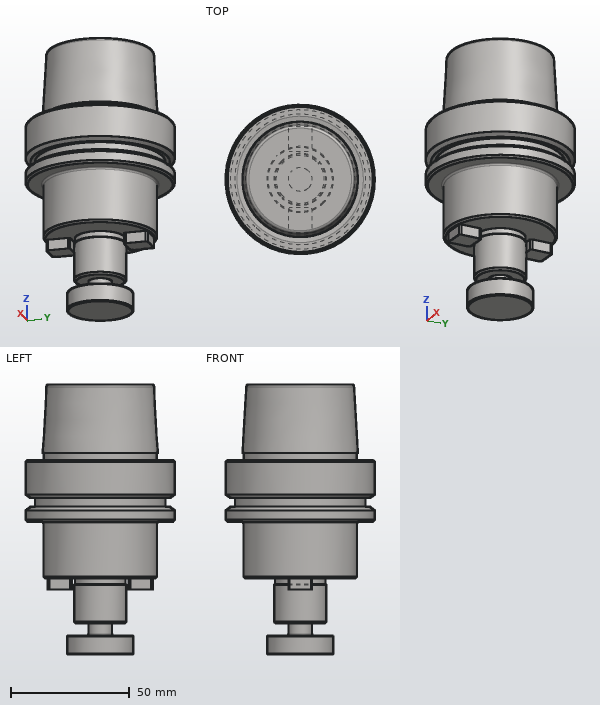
import cadquery as cq

total_height = 113.9
head_top = 8.0
pilot_bottom = 13.0
relief_bottom = 29.6
body_bottom = 32.0
flange_bottom = 55.9
flange_top = 82.0
taper_bottom = 85.0

head_radius = 14.0
neck_radius = 5.0
pilot_radius = 11.0
relief_radius = 10.7
body_radius = 48.0 / 2
flange_radius = 63.0 / 2
groove_radius = 27.6
taper_bottom_radius = 24.4
taper_top_radius = 22.8
shank_root_radius = 23.9

head_chamfer = 0.5
neck_fillet = 0.7
pilot_chamfer = 0.9
relief_step = pilot_radius - relief_radius
body_chamfer = 0.9
body_fillet = 0.8
flange_chamfer = 0.9
shank_edge_radius = 1.1

groove_bottom = 62.3
groove_top = 66.0
groove_lower_edge = 60.7
groove_upper_edge = 67.4
groove_lip_radius = 29.4

dish_radius = 26.7
dish_depth = 0.5

key_width = 10.0
key_inner = 11.8
key_outer = 22.3
key_bottom = 27.3
key_corner_x = 0.5
key_corner_y = 0.9


def turned_body():
    """Revolve the half profile of all coaxial sections about Z."""
    profile = (
        cq.Workplane("XZ")
        .lineTo(head_radius - head_chamfer, 0)
        .lineTo(head_radius, head_chamfer)
        .lineTo(head_radius, head_top - head_chamfer)
        .lineTo(head_radius - head_chamfer, head_top)
        .lineTo(neck_radius + neck_fillet, head_top)
        .radiusArc((neck_radius, head_top + neck_fillet), neck_fillet)
        .lineTo(neck_radius, pilot_bottom)
        .lineTo(pilot_radius - pilot_chamfer, pilot_bottom)
        .lineTo(pilot_radius, pilot_bottom + pilot_chamfer)
        .lineTo(pilot_radius, relief_bottom - relief_step)
        .lineTo(relief_radius, relief_bottom)
        .lineTo(relief_radius, body_bottom)
        .lineTo(body_radius - body_chamfer, body_bottom)
        .lineTo(body_radius, body_bottom + body_chamfer)
        .lineTo(body_radius, flange_bottom - body_fillet)
        .radiusArc((body_radius + body_fillet, flange_bottom), body_fillet)
        .lineTo(flange_radius - flange_chamfer, flange_bottom)
        .lineTo(flange_radius, flange_bottom + flange_chamfer)
        .lineTo(flange_radius, groove_lower_edge)
        .lineTo(groove_lip_radius, groove_bottom)
        .lineTo(groove_radius, groove_bottom)
        .lineTo(groove_radius, groove_top)
        .lineTo(groove_lip_radius, groove_top)
        .lineTo(flange_radius, groove_upper_edge)
        .lineTo(flange_radius, flange_top - flange_chamfer)
        .lineTo(flange_radius - flange_chamfer, flange_top)
        .lineTo(dish_radius, flange_top)
        .lineTo(shank_root_radius, flange_top - dish_depth)
        .lineTo(shank_root_radius, taper_bottom)
        .lineTo(taper_bottom_radius, taper_bottom)
        .lineTo(taper_top_radius, total_height - shank_edge_radius)
        .radiusArc((taper_top_radius - shank_edge_radius, total_height), -shank_edge_radius)
        .lineTo(0, total_height)
        .close()
    )
    return profile.revolve(360, (0, 0), (0, 1))


def driving_key(side):
    """Key under the body on the +Y (side=1) or -Y (side=-1) side."""
    half_width = key_width / 2
    half_length = (key_outer - key_inner) / 2
    end_half_width = half_width - key_corner_x
    side_half_length = half_length - key_corner_y
    outline = [
        (half_width, -side_half_length),
        (half_width, side_half_length),
        (end_half_width, half_length),
        (-end_half_width, half_length),
        (-half_width, side_half_length),
        (-half_width, -side_half_length),
        (-end_half_width, -half_length),
        (end_half_width, -half_length),
    ]
    center_y = side * (key_inner + key_outer) / 2
    return (
        cq.Workplane("XY", origin=(0, center_y, key_bottom))
        .polyline(outline)
        .close()
        .extrude(body_bottom - key_bottom)
    )


result = turned_body()
for side in (-1, 1):
    result = result.union(driving_key(side))